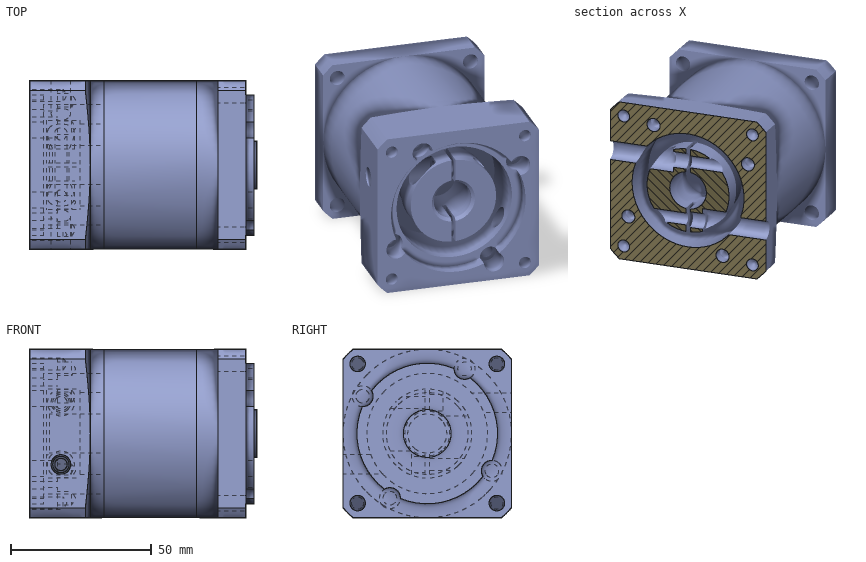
import cadquery as cq
import math


LENGTH = 81.0
SQUARE = 60.0
BODY_R = SQUARE / 2
CORNER_R = 40.0
CORNER_HOLE_PITCH = 49.6

ADAPTER_SQUARE_END = 21.6
ADAPTER_END = 26.6
RING_END = 59.45
FLANGE_START = 67.1
FLANGE_END = 77.0
PILOT_END = 80.0

CORNER_SLOPE = 10.0
RECESS_R = 25.0
RECESS_DEPTH = 5.0
ADAPTER_BORE_R = 21.5
MOTOR_HOLE_R = 2.2
MOTOR_HOLE_DEPTH = 12.0
ACCESS_R = 3.5

SCREW_CIRCLE_R = 26.6
SCREW_FIRST_ANGLE = 60.0
SCREW_HEAD_R = 3.7
SCREW_HEAD_DEPTH = 10.0
SCREW_R = 2.4
SCREW_DEPTH = 15.0
DRILL_POINT_ANGLE = 118.0

HUB_R = 15.9
HUB_START = 6.0
HUB_HEAD_LENGTH = 12.0
NECK_R = 14.6
BORE_R = 7.0
BORE_CHAMFER = 1.05
SLOT_WIDTH = 1.5
CLAMP_X = 11.2
CLAMP_Z = 11.0
CLAMP_SEAT_Y = 5.7
CLAMP_SEAT_R = 4.8
CLAMP_CLEARANCE_R = 2.9
CLAMP_THREAD_R = 2.2

PILOT_R = 25.0
SHAFT_END_R = 8.5
MOUNT_HOLE_R = 2.75


def cylinder(radius, start, end, y=0.0, z=0.0):
    """Cylinder along X between two stations."""
    return cq.Workplane("YZ", origin=(start, y, z)).circle(radius).extrude(end - start)


def cross_cylinder(radius, start, end):
    """Cylinder along Y on the clamp screw line, between two Y values."""
    axis = cq.Workplane("XZ", origin=(CLAMP_X, start, CLAMP_Z))
    return axis.circle(radius).extrude(start - end)


def half_turn(shape):
    """The shape turned half round the gearbox axis."""
    return shape.rotate((0, 0, 0), (1, 0, 0), 180)


def revolve_about_axis(profile):
    """Solid of revolution about the gearbox axis from (X, radius) points."""
    return cq.Workplane("XY").polyline(profile).close().revolve(360, (0, 0, 0), (1, 0, 0))


def drilled_hole(radius, depth, y, z):
    """Blind hole from the motor face with a conical bottom."""
    tip = depth + radius / math.tan(math.radians(DRILL_POINT_ANGLE / 2))
    profile = [(0, 0), (0, radius), (depth, radius), (tip, 0)]
    return revolve_about_axis(profile).translate((0, y, z))


def square_plate(start, end):
    """Square plate with its corners turned to a round."""
    plate = cq.Workplane("YZ", origin=(start, 0, 0)).rect(SQUARE, SQUARE).extrude(end - start)
    return plate.intersect(cylinder(CORNER_R, start, end))


def corner_points():
    """(Y, Z) centres of the four corner holes of a square plate."""
    offset = CORNER_HOLE_PITCH / 2
    return [(y, z) for y in (-offset, offset) for z in (-offset, offset)]


def screw_points():
    """(Y, Z) centres of the four assembly screws."""
    angles = [math.radians(SCREW_FIRST_ANGLE + 90 * i) for i in range(4)]
    return [(SCREW_CIRCLE_R * math.cos(a), SCREW_CIRCLE_R * math.sin(a)) for a in angles]


def make_adapter():
    """Square plate with sloped rear corners, a round collar and a stepped bore."""
    slope_length = (CORNER_R - BODY_R) * math.tan(math.radians(CORNER_SLOPE))
    turned_profile = [
        (0, 0),
        (0, CORNER_R),
        (ADAPTER_SQUARE_END - slope_length, CORNER_R),
        (ADAPTER_SQUARE_END, BODY_R),
        (ADAPTER_SQUARE_END, 0),
    ]
    adapter = square_plate(0, ADAPTER_SQUARE_END).intersect(revolve_about_axis(turned_profile))
    adapter = adapter.union(cylinder(BODY_R, ADAPTER_SQUARE_END, ADAPTER_END))
    adapter = adapter.cut(cylinder(RECESS_R, 0, RECESS_DEPTH))
    adapter = adapter.cut(cylinder(ADAPTER_BORE_R, 0, ADAPTER_END))
    for y, z in corner_points():
        adapter = adapter.cut(drilled_hole(MOTOR_HOLE_R, MOTOR_HOLE_DEPTH, y, z))
    for y, z in screw_points():
        adapter = adapter.cut(cylinder(SCREW_HEAD_R, 0, SCREW_HEAD_DEPTH, y, z))
        adapter = adapter.cut(drilled_hole(SCREW_R, SCREW_DEPTH, y, z))
    access = cross_cylinder(ACCESS_R, 0, BODY_R)
    return adapter.cut(access).cut(half_turn(access))


def make_clamping_hub():
    """Bored hub with a slotted head and two opposed clamp screw holes, on a narrower neck."""
    head_end = HUB_START + HUB_HEAD_LENGTH
    hub = cylinder(HUB_R, HUB_START, head_end).union(cylinder(NECK_R, head_end, ADAPTER_END))
    bore_profile = [
        (HUB_START, 0),
        (HUB_START, BORE_R + BORE_CHAMFER),
        (HUB_START + BORE_CHAMFER, BORE_R),
        (ADAPTER_END, BORE_R),
        (ADAPTER_END, 0),
    ]
    hub = hub.cut(revolve_about_axis(bore_profile))
    slot = cq.Workplane("XY").box(HUB_HEAD_LENGTH, SLOT_WIDTH, 2 * HUB_R, centered=(False, True, True))
    hub = hub.cut(slot.translate((HUB_START, 0, 0)))
    screw_hole = cross_cylinder(CLAMP_SEAT_R, CLAMP_SEAT_Y, HUB_R)
    screw_hole = screw_hole.union(cross_cylinder(CLAMP_CLEARANCE_R, 0, CLAMP_SEAT_Y))
    screw_hole = screw_hole.union(cross_cylinder(CLAMP_THREAD_R, -HUB_R, 0))
    return hub.cut(screw_hole).cut(half_turn(screw_hole))


def make_gear_unit():
    """Gear unit: round middle section carrying the clamping hub that reaches into the adapter."""
    return cylinder(BODY_R, ADAPTER_END, RING_END).union(make_clamping_hub())


def make_output_flange():
    """Output flange: round collar, square plate with mounting holes, scalloped pilot and shaft end."""
    flange = cylinder(BODY_R, RING_END, FLANGE_START)
    flange = flange.union(square_plate(FLANGE_START, FLANGE_END))
    flange = flange.union(cylinder(PILOT_R, FLANGE_END, PILOT_END))
    for y, z in screw_points():
        flange = flange.cut(cylinder(SCREW_HEAD_R, FLANGE_END, PILOT_END, y, z))
    flange = flange.union(cylinder(SHAFT_END_R, PILOT_END, LENGTH))
    for y, z in corner_points():
        flange = flange.cut(cylinder(MOUNT_HOLE_R, FLANGE_START, FLANGE_END, y, z))
    return flange


adapter = make_adapter()
gear_unit = make_gear_unit()
output_flange = make_output_flange()

result = cq.Compound.makeCompound([adapter.val(), gear_unit.val(), output_flange.val()])